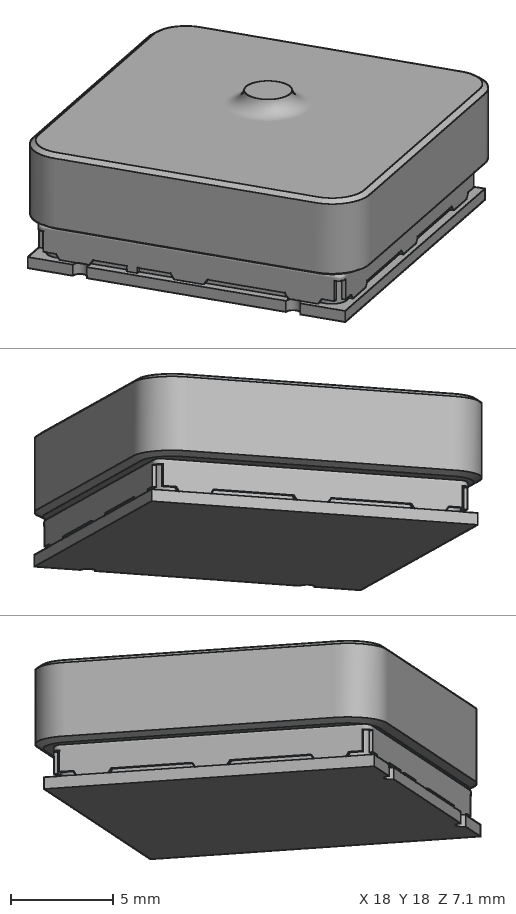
import cadquery as cq
import math

TOTAL_HEIGHT = 7.1
MODULE_Y = -0.32

BOARD_SIZE = 17.0
BOARD_THICKNESS = 0.6
NOTCH_DIAMETER = 0.75
NOTCH_X = 5.7

CAN_SIZE = 16.42
CAN_TOP = 2.25
SHEET = 0.2
CAN_EDGE_RADIUS = 0.15
CAN_CORNER_RADIUS = 0.41
CORNER_CUT = 0.41
CORNER_CUT_TOP = 1.96

WINDOW_TOP = 0.88
WINDOW_NEAR = 0.8
WINDOW_FAR = 5.33
WINDOW_SLANT = 0.2
CORNER_WINDOW_START = 6.91
TAB_LEFT = -3.31
TAB_RIGHT = -2.75

FRAME_THICKNESS = 0.3
FRAME_CORNER_RADIUS = 0.8

ANTENNA_SIZE = 18.0
ANTENNA_CORNER_RADIUS = 2.0
TOP_BEVEL_WIDTH = 0.29
TOP_BEVEL_HEIGHT = 0.2
BOTTOM_BEVEL_WIDTH = 0.4
BOTTOM_BEVEL_HEIGHT = 0.22
NUB_DIAMETER = 4.27
NUB_HEIGHT = 0.74
NUB_FILLET = 0.99
NUB_Y = 1.1

FRAME_SIZE = CAN_SIZE - 2 * SHEET
LID_UNDERSIDE = CAN_TOP - SHEET
ANTENNA_TOP = TOTAL_HEIGHT - NUB_HEIGHT


def square_block(size, bottom, top, center_y=MODULE_Y):
    """Upright square block between two heights, centred on X = 0."""
    return (
        cq.Workplane("XY", origin=(0, center_y, bottom))
        .rect(size, size)
        .extrude(top - bottom)
    )


def make_board():
    """Square board with two half-round notches in its front edge."""
    front_y = MODULE_Y - BOARD_SIZE / 2
    notches = (
        cq.Workplane("XY")
        .pushPoints([(-NOTCH_X, front_y), (NOTCH_X, front_y)])
        .circle(NOTCH_DIAMETER / 2)
        .extrude(BOARD_THICKNESS)
    )
    return square_block(BOARD_SIZE, 0, BOARD_THICKNESS).cut(notches)


def make_frame():
    """Rounded square ring standing on the board inside the can."""
    outer = square_block(FRAME_SIZE, BOARD_THICKNESS, LID_UNDERSIDE)
    outer = outer.edges("|Z").fillet(FRAME_CORNER_RADIUS)
    inner = square_block(FRAME_SIZE - 2 * FRAME_THICKNESS, BOARD_THICKNESS, LID_UNDERSIDE)
    inner = inner.edges("|Z").fillet(FRAME_CORNER_RADIUS - FRAME_THICKNESS)
    return outer.cut(inner)


def window_cutter(left, right, left_slant=WINDOW_SLANT, right_slant=WINDOW_SLANT):
    """Trapezoid through the front wall, wider at the board by the slants."""
    wall_front = MODULE_Y - CAN_SIZE / 2
    return (
        cq.Workplane("XZ", origin=(0, wall_front, 0))
        .moveTo(left, BOARD_THICKNESS)
        .lineTo(right, BOARD_THICKNESS)
        .lineTo(right - right_slant, WINDOW_TOP)
        .lineTo(left + left_slant, WINDOW_TOP)
        .close()
        .extrude(-SHEET)
    )


def wall_windows(has_tab):
    """All window cutters of the front wall, with or without the narrow tab."""
    wall_end = CAN_SIZE / 2
    cutters = [
        window_cutter(-wall_end, -CORNER_WINDOW_START, left_slant=0),
        window_cutter(WINDOW_NEAR, WINDOW_FAR),
        window_cutter(CORNER_WINDOW_START, wall_end, right_slant=0),
    ]
    if has_tab:
        cutters.append(window_cutter(-WINDOW_FAR, TAB_LEFT, right_slant=0))
        cutters.append(window_cutter(TAB_RIGHT, -WINDOW_NEAR, left_slant=0))
    else:
        cutters.append(window_cutter(-WINDOW_FAR, -WINDOW_NEAR))
    return cutters


def make_shield():
    """Thin can with a closed lid, slotted corners and windows at the board."""
    can = square_block(CAN_SIZE, BOARD_THICKNESS, CAN_TOP)
    can = can.edges("|Z").fillet(CAN_CORNER_RADIUS)
    can = can.faces(">Z").edges().fillet(CAN_EDGE_RADIUS)
    cavity = square_block(FRAME_SIZE, BOARD_THICKNESS, LID_UNDERSIDE)
    can = can.cut(cavity)

    slot_offset = CAN_SIZE - CORNER_CUT
    slots = (
        cq.Workplane("XY", origin=(0, MODULE_Y, BOARD_THICKNESS))
        .rect(slot_offset, slot_offset, forConstruction=True)
        .vertices()
        .rect(CORNER_CUT, CORNER_CUT)
        .extrude(CORNER_CUT_TOP - BOARD_THICKNESS)
    )
    can = can.cut(slots)

    for turn in range(4):
        for cutter in wall_windows(has_tab=turn == 0):
            can = can.cut(cutter.rotate((0, MODULE_Y, 0), (0, MODULE_Y, 1), 90 * turn))
    return can


def make_antenna():
    """Rounded square block, bevelled top and bottom, with a flared nub above."""
    block = square_block(ANTENNA_SIZE, CAN_TOP, ANTENNA_TOP, center_y=0)
    block = block.edges("|Z").fillet(ANTENNA_CORNER_RADIUS)
    block = block.faces(">Z").edges().chamfer(TOP_BEVEL_HEIGHT, TOP_BEVEL_WIDTH)
    block = block.faces("<Z").edges().chamfer(BOTTOM_BEVEL_HEIGHT, BOTTOM_BEVEL_WIDTH)
    return block.union(make_nub())


def make_nub():
    """Flat-topped nub whose concave flank meets the antenna top smoothly."""
    base_radius = NUB_DIAMETER / 2

    def flank_point(height):
        drop = NUB_FILLET - height
        return base_radius - math.sqrt(NUB_FILLET**2 - drop**2), height

    tip = flank_point(NUB_HEIGHT)
    return (
        cq.Workplane("XZ", origin=(0, NUB_Y, ANTENNA_TOP))
        .lineTo(base_radius, 0)
        .threePointArc(flank_point(NUB_HEIGHT / 4), tip)
        .lineTo(0, NUB_HEIGHT)
        .close()
        .revolve(360, (0, 0, 0), (0, 1, 0))
    )


board = make_board()
frame = make_frame()
shield = make_shield()
antenna = make_antenna()

result = cq.Compound.makeCompound([board.val(), frame.val(), shield.val(), antenna.val()])